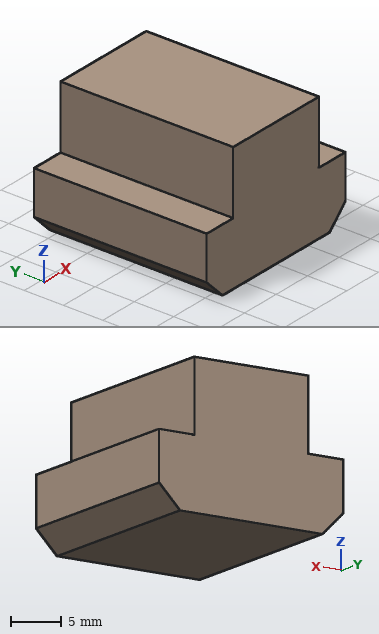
import cadquery as cq

base_width = 22.0
length = 22.0
total_height = 16.0
base_height = 8.0
neck_width = 13.6
chamfer = 2.5


def make_base():
    """Wide foot of the T-nut, with its two lower long edges chamfered."""
    base = cq.Workplane("XY").box(base_width, length, base_height, centered=(True, True, False))
    return base.faces("<Z").edges("|Y").chamfer(chamfer)


def make_neck():
    """Narrow block running the full length on top of the foot."""
    neck_height = total_height - base_height
    return (
        cq.Workplane("XY")
        .workplane(offset=base_height)
        .box(neck_width, length, neck_height, centered=(True, True, False))
    )


result = make_base().union(make_neck())